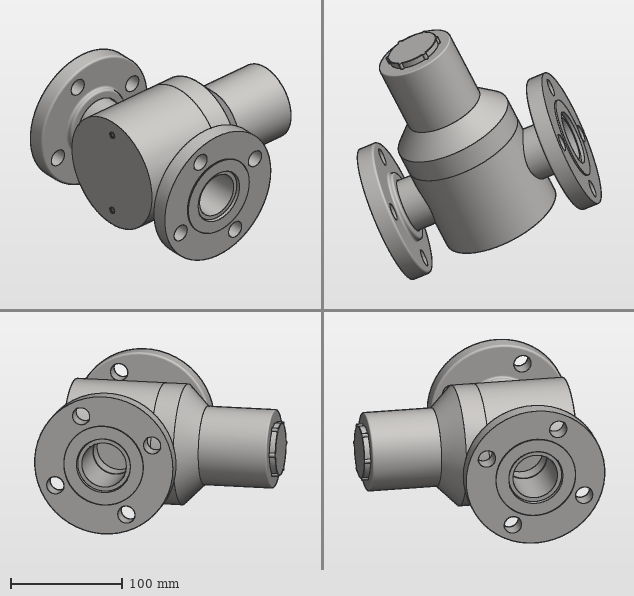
import cadquery as cq
import math


overall_length = 207.3
overall_width = 186.0

housing_diameter = 109.0
housing_front_y = -46.2
housing_back_y = 35.0
port_diameter = 40.0
port_floor_x = 24.9
pipe_socket_x = 41.5
screw_hole_diameter = 5.2
screw_hole_rim_diameter = 6.2
screw_hole_rim_depth = 0.6
screw_hole_depth = 1.7
screw_hole_offset = 40.0

bonnet_shoulder_y = 56.0
neck_diameter = 71.0
neck_end_y = 138.0
neck_fillet = 1.2

pipe_diameter = 48.3
pipe_bore = 40.8
pipe_end_x = 90.0

flange_diameter = 127.0
flange_bore = 49.5
flange_fillet = 2.0
hub_diameter = 65.0
hub_fillet = 2.0
hub_inner_x = 70.5
flange_back_x = 75.5
flange_front_x = 91.6
raised_face_diameter = 73.0
raised_face_x = overall_width / 2
bolt_hole_diameter = 15.8
bolt_circle_radius = 49.1
bolt_hole_count = 4
bolt_hole_tilt = 25.0

cap_diameter = 47.3
cap_end_y = overall_length - flange_diameter / 2
cap_chamfer = 0.5
grip_diameter = 4.0
grip_count = 6


def disc_along_x(diameter, start_x, end_x, y=0, z=0):
    return cq.Workplane("YZ", origin=(start_x, y, z)).circle(diameter / 2).extrude(end_x - start_x)


def disc_along_y(diameter, start_y, end_y, x=0, z=0):
    return cq.Workplane("XZ", origin=(x, start_y, z)).circle(diameter / 2).extrude(start_y - end_y)


def mirrored_pair(right_body):
    return [right_body, right_body.mirror("YZ")]


def make_screw_hole(z):
    rim_floor_y = housing_front_y + screw_hole_rim_depth
    rim = disc_along_y(screw_hole_rim_diameter, housing_front_y, rim_floor_y, z=z)
    hole_floor_y = housing_front_y + screw_hole_depth
    return rim.union(disc_along_y(screw_hole_diameter, housing_front_y, hole_floor_y, z=z))


def make_housing():
    housing = disc_along_y(housing_diameter, housing_front_y, housing_back_y)
    socket = disc_along_x(pipe_diameter, pipe_socket_x, housing_diameter)
    port = disc_along_x(port_diameter, port_floor_x, housing_diameter)
    for cavity in mirrored_pair(socket.union(port)):
        housing = housing.cut(cavity)
    for z in (-screw_hole_offset, screw_hole_offset):
        housing = housing.cut(make_screw_hole(z))
    return housing


def make_bonnet():
    base_radius = housing_diameter / 2
    neck_radius = neck_diameter / 2
    neck_start_y = bonnet_shoulder_y + base_radius - neck_radius
    half_outline = [
        (0, housing_back_y),
        (base_radius, housing_back_y),
        (base_radius, bonnet_shoulder_y),
        (neck_radius, neck_start_y),
        (neck_radius, neck_end_y),
        (0, neck_end_y),
    ]
    bonnet = cq.Workplane("XY").polyline(half_outline).close().revolve(360, (0, 0), (0, 1))
    return bonnet.faces(">Y").edges().fillet(neck_fillet)


def make_cap():
    cap = disc_along_y(cap_diameter, neck_end_y, cap_end_y).faces(">Y").edges().chamfer(cap_chamfer)
    for index in range(grip_count):
        angle = 2 * math.pi * index / grip_count
        x = cap_diameter / 2 * math.cos(angle)
        z = cap_diameter / 2 * math.sin(angle)
        cap = cap.union(disc_along_y(grip_diameter, neck_end_y, cap_end_y, x, z))
    return cap


def make_pipe():
    pipe = disc_along_x(pipe_diameter, pipe_socket_x, pipe_end_x)
    return pipe.cut(disc_along_x(pipe_bore, pipe_socket_x, pipe_end_x))


def make_hub():
    hub = disc_along_x(hub_diameter, hub_inner_x, flange_back_x)
    hub = hub.faces("<X").edges().fillet(hub_fillet)
    hub_radius = hub_diameter / 2
    root_start_x = flange_back_x - hub_fillet
    root_radius = hub_radius + hub_fillet
    arc_inset = hub_fillet * math.sqrt(0.5)
    root = (
        cq.Workplane("XY")
        .moveTo(root_start_x, 0)
        .lineTo(root_start_x, hub_radius)
        .threePointArc((root_start_x + arc_inset, root_radius - arc_inset), (flange_back_x, root_radius))
        .lineTo(flange_back_x, 0)
        .close()
        .revolve(360, (0, 0), (1, 0))
    )
    return hub.union(root)


def make_flange():
    plate = disc_along_x(flange_diameter, flange_back_x, flange_front_x)
    plate = plate.faces("<X").edges().fillet(flange_fillet)
    flange = plate.union(make_hub())
    flange = flange.union(disc_along_x(raised_face_diameter, flange_front_x, raised_face_x))
    flange = flange.cut(disc_along_x(flange_bore, hub_inner_x, raised_face_x))
    for index in range(bolt_hole_count):
        angle = math.radians(bolt_hole_tilt) + 2 * math.pi * index / bolt_hole_count
        y = -bolt_circle_radius * math.sin(angle)
        z = bolt_circle_radius * math.cos(angle)
        flange = flange.cut(disc_along_x(bolt_hole_diameter, flange_back_x, flange_front_x, y, z))
    return flange


housing = make_housing()
bonnet = make_bonnet()
cap = make_cap()
pipes = mirrored_pair(make_pipe())
flanges = mirrored_pair(make_flange())

result = cq.Compound.makeCompound(
    [
        housing.val(),
        bonnet.val(),
        cap.val(),
        *[pipe.val() for pipe in pipes],
        *[flange.val() for flange in flanges],
    ]
)